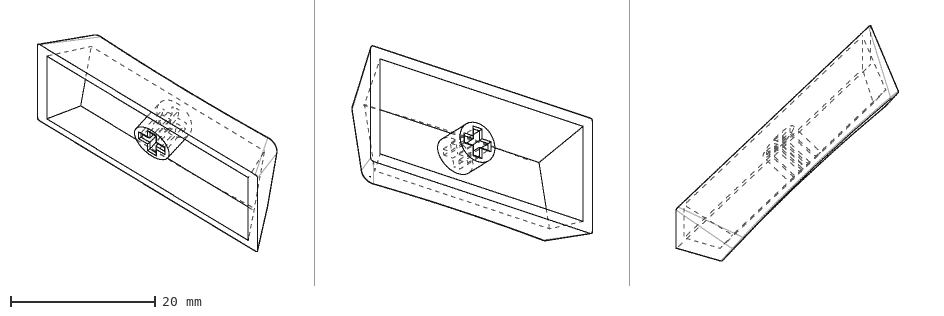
import cadquery as cq
import math

rim_width = 38.1
rim_height = 18.0
rim_corner_radius = 0.42

crown_width = 32.4
crown_corner_radius = 1.85
crown_top_y = 8.75
crown_top_z = 13.8
crown_bottom_y = 5.8
dish_depth = 0.55
crown_edge_radius = 0.23

wall = 1.52
upper_wall = 1.68
crown_thickness = 1.52
opening_width = 34.85
opening_height = rim_height - wall - upper_wall
floor_width = 30.0
floor_top_z = 12.85

stem_diameter = 6.0
stem_face_y = 1.0
stem_z = rim_height / 2
socket_length = 4.08
socket_arm = 1.03
socket_chamfer = 0.25

crown_run = crown_top_y - crown_bottom_y
crown_length = math.hypot(crown_run, crown_top_z)
crown_slope = crown_run / crown_top_z
crown_normal = (0, crown_top_z, -crown_run)


def facing_back(y, z):
    """Plane parallel to the rim with its normal along +Y."""
    return cq.Plane(origin=(0, y, z), xDir=(1, 0, 0), normal=(0, 1, 0))


def rectangle(plane, width, height, radius=0):
    """Centred rectangular wire with optional round corners."""
    block = cq.Workplane(plane).rect(width, height).extrude(0.4)
    if radius:
        block = block.edges(cq.selectors.ParallelDirSelector(plane.zDir)).fillet(radius)
    return block.faces(cq.selectors.DirectionMinMaxSelector(plane.zDir, False)).val().outerWire()


def loft(first, second):
    return cq.Workplane(obj=cq.Solid.makeLoft([first, second], True))


def outer_body():
    crown_plane = cq.Plane(
        origin=(0, (crown_top_y + crown_bottom_y) / 2, crown_top_z / 2),
        xDir=(1, 0, 0),
        normal=crown_normal,
    )
    rim = rectangle(facing_back(0, rim_height / 2), rim_width, rim_height, rim_corner_radius)
    crown = rectangle(crown_plane, crown_width, crown_length, crown_corner_radius)
    half_chord = crown_width / 2
    dish_radius = (half_chord**2 + dish_depth**2) / (2 * dish_depth)
    dish_plane = cq.Plane(
        origin=crown_plane.toWorldCoords((0, 0, dish_radius - dish_depth)),
        xDir=(1, 0, 0),
        normal=(0, crown_run, crown_top_z),
    )
    dish = cq.Workplane(dish_plane).circle(dish_radius).extrude(crown_length, both=True)
    dished = loft(rim, crown).cut(dish)
    crown_face = dished.faces(cq.selectors.CenterNthSelector(cq.Vector(crown_normal), -1))
    return crown_face.edges().fillet(crown_edge_radius)


def cavity():
    floor_bottom_y = crown_bottom_y - crown_thickness + crown_slope * wall
    floor_top_y = crown_bottom_y - crown_thickness + crown_slope * floor_top_z
    floor_plane = cq.Plane(
        origin=(0, (floor_bottom_y + floor_top_y) / 2, (wall + floor_top_z) / 2),
        xDir=(1, 0, 0),
        normal=crown_normal,
    )
    floor_length = math.hypot(floor_top_y - floor_bottom_y, floor_top_z - wall)
    opening = rectangle(facing_back(0, wall + opening_height / 2), opening_width, opening_height)
    return loft(opening, rectangle(floor_plane, floor_width, floor_length))


def stem():
    """Stem long enough to run through the cavity floor; trimmed to the cavity later."""
    face = facing_back(stem_face_y, stem_z)
    post = cq.Workplane(face).circle(stem_diameter / 2).extrude(crown_top_y)
    for width, height in ((socket_length, socket_arm), (socket_arm, socket_length)):
        shaft = cq.Workplane(face).rect(width, height).extrude(crown_top_y)
        mouth = (
            cq.Workplane(face)
            .rect(width + 2 * socket_chamfer, height + 2 * socket_chamfer)
            .extrude(socket_chamfer, taper=45)
        )
        post = post.cut(shaft).cut(mouth)
    return post


hollow = cavity().cut(stem())
result = outer_body().cut(hollow)